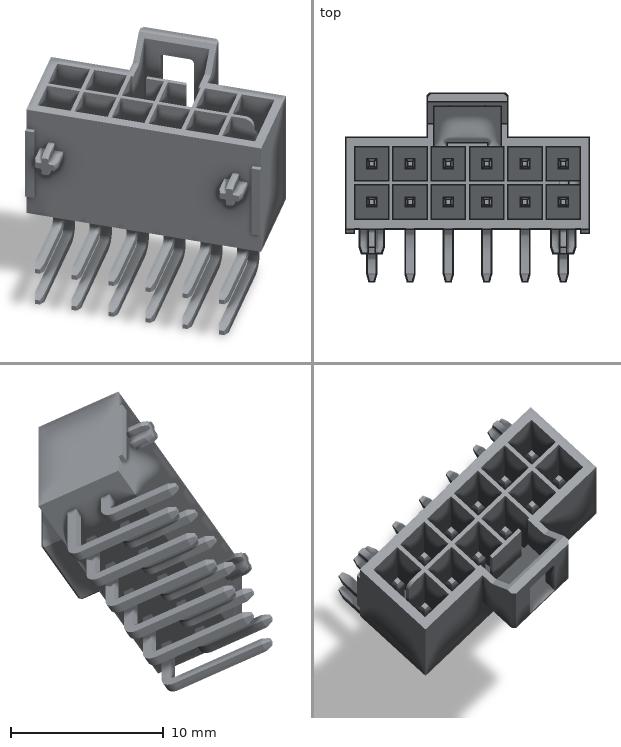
import cadquery as cq


COLUMNS = 6
PITCH = 2.5
BODY_LENGTH = 15.94
BODY_DEPTH = 6.01
BODY_HEIGHT = 8.4
CELL_SIZE = 2.23
CELL_FLOOR = 2.0

ROW_NEAR = 1.77
ROW_FAR = ROW_NEAR + PITCH
CELL_BACK = ROW_FAR + CELL_SIZE / 2
COLUMN_XS = [(column - (COLUMNS - 1) / 2) * PITCH for column in range(COLUMNS)]

KEY_NOTCH_WIDTH = 0.75
KEY_CORNER_RADIUS = 0.64

LATCH_WIDTH = 5.3
LATCH_BACK = 8.88
LATCH_BOTTOM = 3.47
LATCH_RISE = 1.5
LATCH_TOP = BODY_HEIGHT + LATCH_RISE
LATCH_RIM = 0.57
LATCH_SLOPE_RUN = 1.43
LATCH_EDGE = 0.19
LATCH_WALL = 0.43

POCKET_WIDTH = LATCH_WIDTH - 2 * LATCH_WALL
POCKET_BACK = 8.03
POCKET_FLOOR = LATCH_BOTTOM + LATCH_WALL
RIB_WIDTH = 2.68
RIB_THICKNESS = 0.25
WINDOW_WIDTH = 2.31
WINDOW_TOP = 8.53
WINDOW_RADIUS = 0.29

STRIP_WIDTH = 0.57
STRIP_HEIGHT = 5.34
STRIP_DEPTH = 0.29
PEG_RADIUS = 0.81
PEG_TIP_RADIUS = 0.67
PEG_LENGTH = 1.61
PEG_TAPER = 0.43
PEG_ARM = 0.45
PEG_INNER_RADIUS = 0.11
PEG_Z = 5.25

PIN_SIZE = 0.64
PIN_TIP_SIZE = 0.33
PIN_TAPER = 0.54
PIN_TOP = 6.38
PIN_REACH = 3.46
PIN_BEND_INNER = 0.32
OVERALL_HEIGHT = 14.66
PIN_BOTTOM = LATCH_TOP - OVERALL_HEIGHT
TAIL_FAR_Z = PIN_BOTTOM + PIN_SIZE / 2
TAIL_NEAR_Z = TAIL_FAR_Z + PITCH


def block(x_range, y_range, z_range):
    """Axis-aligned box given by its limits on each axis."""
    (x0, x1), (y0, y1), (z0, z1) = x_range, y_range, z_range
    return cq.Workplane("XY").box(x1 - x0, y1 - y0, z1 - z0, centered=False).translate((x0, y0, z0))


def span(center, size):
    """Limits of a length centred on a given place."""
    return center - size / 2, center + size / 2


def make_latch():
    slope_top = LATCH_BACK - LATCH_RIM
    outline = [
        (CELL_BACK, LATCH_BOTTOM),
        (LATCH_BACK, LATCH_BOTTOM),
        (LATCH_BACK, LATCH_TOP),
        (slope_top, LATCH_TOP),
        (slope_top - LATCH_SLOPE_RUN, BODY_HEIGHT),
        (CELL_BACK, BODY_HEIGHT),
    ]
    latch = cq.Workplane("YZ").polyline(outline).close().extrude(LATCH_WIDTH / 2, both=True)
    upright_back_edges = latch.faces(">Y").edges("|Z")
    long_bottom_edges = latch.faces("<Z").edges("|Y")
    bottom_back_edge = latch.faces("<Z").edges(">Y")
    return latch.newObject(
        upright_back_edges.vals() + long_bottom_edges.vals() + bottom_back_edge.vals()
    ).chamfer(LATCH_EDGE)


def make_latch_pocket():
    """Space behind the far cells, leaving a thin rib standing on the cell side."""
    height = (POCKET_FLOOR, LATCH_TOP)
    pocket = block(span(0, POCKET_WIDTH), (CELL_BACK, POCKET_BACK), height)
    rib = block(span(0, RIB_WIDTH), (CELL_BACK, CELL_BACK + RIB_THICKNESS), height)
    return pocket.cut(rib)


def make_latch_window():
    window = block(span(0, WINDOW_WIDTH), (POCKET_BACK, LATCH_BACK), (POCKET_FLOOR, WINDOW_TOP))
    return window.faces(">Z").edges("|Y").fillet(WINDOW_RADIUS)


def make_key_notch():
    """Gap beside the end wall, flaring at the top where the partition corner is rounded."""
    wall_x = COLUMN_XS[-1] + CELL_SIZE / 2
    notch_x = wall_x - KEY_NOTCH_WIDTH
    return (
        cq.Workplane("XZ", origin=(0, ROW_NEAR + CELL_SIZE / 2, 0))
        .moveTo(notch_x, POCKET_FLOOR)
        .lineTo(notch_x, BODY_HEIGHT - KEY_CORNER_RADIUS)
        .radiusArc((notch_x - KEY_CORNER_RADIUS, BODY_HEIGHT), -KEY_CORNER_RADIUS)
        .lineTo(wall_x, BODY_HEIGHT)
        .lineTo(wall_x, POCKET_FLOOR)
        .close()
        .extrude(-(PITCH - CELL_SIZE))
    )


def make_peg(x):
    profile = [
        (0, 0),
        (PEG_RADIUS, 0),
        (PEG_RADIUS, -(PEG_LENGTH - PEG_TAPER)),
        (PEG_TIP_RADIUS, -PEG_LENGTH),
        (0, -PEG_LENGTH),
    ]
    round_peg = cq.Workplane("XY").polyline(profile).close().revolve(360, (0, 0), (0, 1))
    length = (-PEG_LENGTH, 0)
    flat_arm = block(span(0, 2 * PEG_RADIUS), length, span(0, PEG_ARM))
    upright_arm = block(span(0, PEG_ARM), length, span(0, 2 * PEG_RADIUS))
    cross = flat_arm.union(upright_arm)
    inner_corners = cq.selectors.BoxSelector(
        (-PEG_ARM, -PEG_LENGTH, -PEG_ARM), (PEG_ARM, 0, PEG_ARM)
    )
    cross = cross.edges("|Y").edges(inner_corners).fillet(PEG_INNER_RADIUS)
    return round_peg.intersect(cross).translate((x, 0, PEG_Z))


def pin_tip(plane):
    """Tapered pin end growing along the normal of the given plane."""
    return (
        cq.Workplane(plane)
        .rect(PIN_SIZE, PIN_SIZE)
        .workplane(offset=PIN_TAPER)
        .rect(PIN_TIP_SIZE, PIN_TIP_SIZE)
        .loft()
    )


def make_pin(x, row_y, tail_z):
    bend = PIN_BEND_INNER + PIN_SIZE / 2
    top_z = PIN_TOP - PIN_TAPER
    tail_y = PIN_TAPER - PIN_REACH
    path = (
        cq.Workplane("YZ", origin=(x, 0, 0))
        .moveTo(row_y, top_z)
        .lineTo(row_y, tail_z + bend)
        .radiusArc((row_y - bend, tail_z), bend)
        .lineTo(tail_y, tail_z)
    )
    bar = cq.Workplane("XY", origin=(x, row_y, top_z)).rect(PIN_SIZE, PIN_SIZE).sweep(path)
    top_tip = pin_tip(cq.Plane.XY((x, row_y, top_z)))
    tail_tip = pin_tip(cq.Plane.XZ((x, tail_y, tail_z)))
    return bar.union(top_tip).union(tail_tip)


result = block(span(0, BODY_LENGTH), (0, BODY_DEPTH), (0, BODY_HEIGHT)).union(make_latch())
for column_x in COLUMN_XS:
    for row_center in (ROW_NEAR, ROW_FAR):
        result = result.cut(
            block(span(column_x, CELL_SIZE), span(row_center, CELL_SIZE), (CELL_FLOOR, BODY_HEIGHT))
        )
result = result.cut(make_latch_pocket()).cut(make_latch_window()).cut(make_key_notch())

for side in (-1, 1):
    strip_x = side * (BODY_LENGTH - STRIP_WIDTH) / 2
    strip_z = span(BODY_HEIGHT / 2, STRIP_HEIGHT)
    result = result.union(block(span(strip_x, STRIP_WIDTH), (-STRIP_DEPTH, 0), strip_z))
    result = result.union(make_peg(side * COLUMN_XS[-1]))

for column_x in COLUMN_XS:
    result = result.union(make_pin(column_x, ROW_NEAR, TAIL_NEAR_Z))
    result = result.union(make_pin(column_x, ROW_FAR, TAIL_FAR_Z))